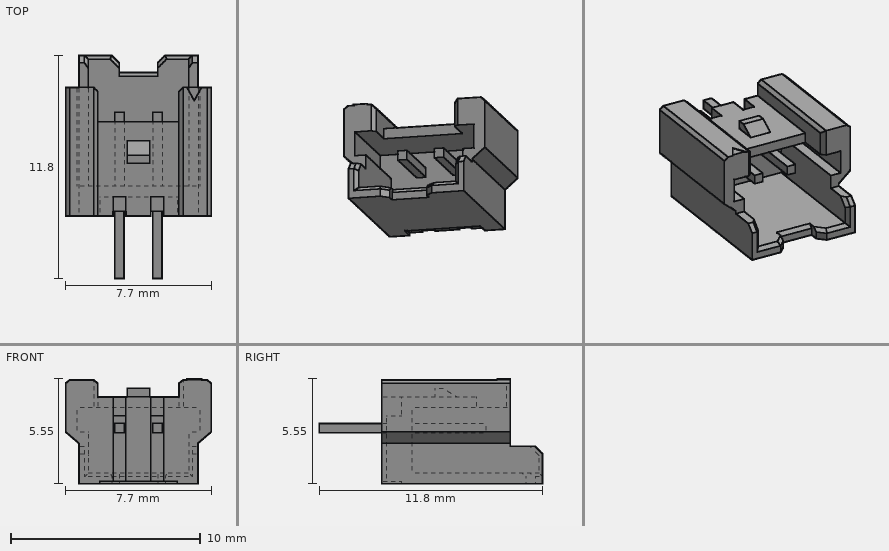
import cadquery as cq


body_width = 6.3
body_length = 8.5
tongue_height = 2.0
tongue_nose_chamfer = 0.4
body_top = 4.6

wing_outer_width = 7.7
wing_inner_gap = 4.28
wing_top = 5.5
wing_length = 6.8
wing_chamfer_width = 0.22
wing_chamfer_height = 0.18
wing_flare_bottom = 2.15
wing_flare_top = 2.75

roof_length = 5.0
cavity_width = 5.3
cavity_floor = 0.6
cavity_ceiling = 4.05
wing_wall = 0.6
rear_wall = 1.6
lead_in = 0.2
wing_lead_in = 0.22

notch_width = 2.02
notch_depth = 0.9
notch_corner = 0.4

pin_pitch = 2.0
pin_count = 2
pin_size = 0.5
pin_axis_height = 2.95
pin_tail = 3.3
pin_tip = 5.5

slot_width = 0.67
slot_depth = 0.25
slot_pocket_depth = 1.03
slot_pocket_floor = 3.6

recess_width = 4.1
recess_height = 0.15

latch_width = 1.2
latch_height = 0.46
latch_rear = 2.8
latch_flat = 0.42
latch_length = 1.18

marker_width = 0.77
marker_length = 0.7
marker_height = 0.05
marker_x = 2.95

pin_positions = [(i - (pin_count - 1) / 2) * pin_pitch for i in range(pin_count)]


def block(width, y_start, y_end, z_start, z_end, x_center=0.0):
    """Box centred on x_center, spanning the given Y and Z ranges."""
    corner = (x_center - width / 2, y_start, z_start)
    return cq.Workplane("XY").box(width, y_end - y_start, z_end - z_start, centered=False).translate(corner)


def make_shell():
    """Winged cross-section carried along Y, plus the low tongue ahead of it."""
    half_body = body_width / 2
    half_outer = wing_outer_width / 2
    half_inner = wing_inner_gap / 2
    shoulder = wing_top - wing_chamfer_height
    right_half = [
        (half_body, 0),
        (half_body, wing_flare_bottom),
        (half_outer, wing_flare_top),
        (half_outer, shoulder),
        (half_outer - wing_chamfer_width, wing_top),
        (half_inner + wing_chamfer_width, wing_top),
        (half_inner, shoulder),
        (half_inner, body_top),
    ]
    left_half = [(-x, z) for x, z in reversed(right_half)]
    winged = cq.Workplane("XZ").polyline(right_half + left_half).close().extrude(-wing_length)
    tongue = block(body_width, 0, body_length, 0, tongue_height)
    tongue = tongue.faces(">Y").edges(">Z").chamfer(tongue_nose_chamfer)
    return winged.union(tongue)


def cut_cavity(body):
    """Hollow out the cavity, widen it under the wings and trim the roof back between them."""
    cavity = block(cavity_width, rear_wall, body_length, cavity_floor, cavity_ceiling)
    roof_trim = block(wing_inner_gap, roof_length, body_length, cavity_floor, wing_top)
    grooves = block(wing_outer_width - 2 * wing_wall, rear_wall, body_length, wing_flare_top, cavity_ceiling)
    return body.cut(cavity).cut(grooves).cut(roof_trim)


def cut_floor_notch(body):
    """Cut the notch through the floor, widening at the front with bevelled corners."""
    half_notch = notch_width / 2
    half_mouth = half_notch + notch_corner
    bevel_start = body_length - notch_corner
    notch_back = body_length - notch_depth
    outline = [
        (-half_mouth, body_length),
        (-half_notch, bevel_start),
        (-half_notch, notch_back),
        (half_notch, notch_back),
        (half_notch, bevel_start),
        (half_mouth, body_length),
    ]
    return body.cut(cq.Workplane("XY").polyline(outline).close().extrude(tongue_height))


def near(point):
    """Selector for the edge whose centre lies closest to the point."""
    return cq.selectors.NearestToPointSelector(point)


def chamfer_mouth(body):
    """Lead-in chamfers on the cavity rim and on the inner front edges of the wings."""
    half_cavity = cavity_width / 2
    half_notch = notch_width / 2
    half_mouth = half_notch + notch_corner
    nose_start = body_length - tongue_nose_chamfer
    nose_bottom = tongue_height - tongue_nose_chamfer

    rim = []
    for side in (-1, 1):
        floor_front = ((half_cavity + half_mouth) / 2, body_length, cavity_floor)
        floor_bevel = ((half_notch + half_mouth) / 2, body_length - notch_corner / 2, cavity_floor)
        wall_front = (half_cavity, body_length, (cavity_floor + nose_bottom) / 2)
        wall_nose = (half_cavity, (body_length + nose_start) / 2, (nose_bottom + tongue_height) / 2)
        for x, y, z in (floor_front, floor_bevel, wall_front, wall_nose):
            rim += body.edges(near((side * x, y, z))).vals()
    body = body.newObject(rim).chamfer(lead_in)

    wing_edges = []
    wing_edge_mid = (cavity_ceiling + wing_top - wing_chamfer_height) / 2
    for side in (-1, 1):
        wing_edges += body.edges(near((side * wing_inner_gap / 2, wing_length, wing_edge_mid))).vals()
    body = body.newObject(wing_edges).chamfer(wing_lead_in)

    notch_back = body_length - notch_depth
    wedge = [
        (notch_back, cavity_floor),
        (notch_back, cavity_floor - lead_in),
        (notch_back - lead_in, cavity_floor),
    ]
    return body.cut(cq.Workplane("YZ").polyline(wedge).close().extrude(half_notch, both=True))


def cut_rear(body):
    """Cut the stepped slots around the pins and the shallow recess below them."""
    for x in pin_positions:
        body = body.cut(block(slot_width, 0, slot_depth, 0, body_top, x))
        body = body.cut(block(slot_width, 0, slot_pocket_depth, slot_pocket_floor, body_top, x))
    return body.cut(block(recess_width, 0, slot_pocket_depth, 0, recess_height))


def make_pin(x):
    """Straight square pin from the tail end to its tip inside the cavity."""
    pin_bottom = pin_axis_height - pin_size / 2
    return block(pin_size, -pin_tail, pin_tip, pin_bottom, pin_bottom + pin_size, x)


def make_latch():
    """Latch bump with an upright rear face and a ramp falling toward +Y."""
    outline = [
        (latch_rear, body_top),
        (latch_rear, body_top + latch_height),
        (latch_rear + latch_flat, body_top + latch_height),
        (latch_rear + latch_length, body_top),
    ]
    return cq.Workplane("YZ").polyline(outline).close().extrude(latch_width / 2, both=True)


def make_marker():
    """Thin triangle on the wing top, based on the front edge and pointing to -Y."""
    outline = [
        (marker_x - marker_width / 2, wing_length),
        (marker_x + marker_width / 2, wing_length),
        (marker_x, wing_length - marker_length),
    ]
    return cq.Workplane("XY", origin=(0, 0, wing_top)).polyline(outline).close().extrude(marker_height)


housing = cut_rear(chamfer_mouth(cut_floor_notch(cut_cavity(make_shell()))))
result = housing.union(make_latch()).union(make_marker())
for pin_x in pin_positions:
    result = result.union(make_pin(pin_x))